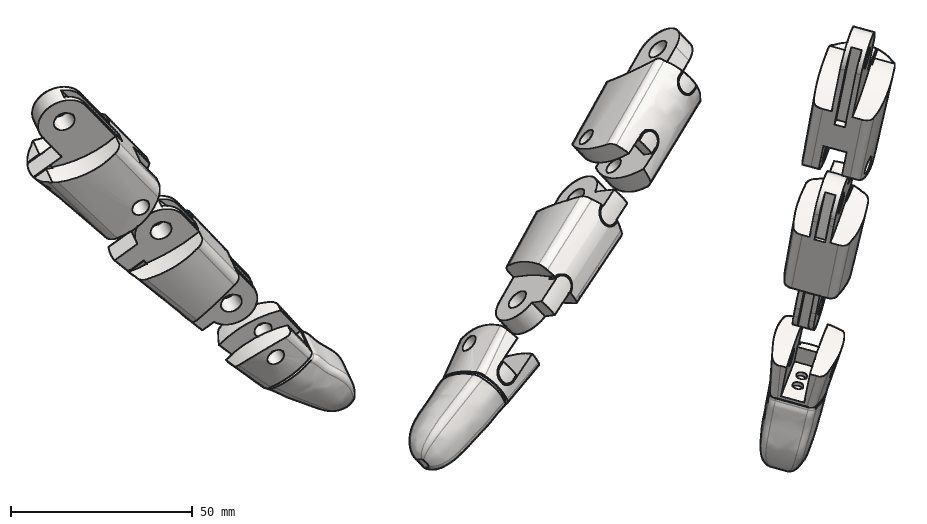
import cadquery as cq
import math

LEAN = 33.4

SHOULDER_RISE = 0.2
HIP_RISE = 0.15

LUG_WIDTH = 6.0
LUG_RADIUS = 7.5
LUG_HOLE = 6.0
FORK_HOLE = 5.0
FORK_WIDTH = 6.65
TENDON_WIDTH = 3.0
GUARD_INNER_Y = -10.6
ARCH_GAP = 0.4
GUARD_GROOVE_Y = -12.0
WIDE = 40.0
DORSAL_CLEAR = 12.0
PALMAR_CLEAR = -20.0


def bulge(start, end, rise):
    """Middle point of an arc that rises to the left of the chord from start to end."""
    dx = end[0] - start[0]
    dy = end[1] - start[1]
    length = math.hypot(dx, dy)
    mid_x = (start[0] + end[0]) / 2
    mid_y = (start[1] + end[1]) / 2
    return (mid_x - dy / length * rise, mid_y + dx / length * rise)


def mirrored(point):
    return (-point[0], point[1])


def section(z, dorsal, flat, shoulder, side, hip, heel, palmar):
    """Cross-section wire: dorsal flat, round shoulders, bowed sides, round hips, palmar arc.

    dorsal and palmar are Y levels on the centre line, flat is half the dorsal flat.
    shoulder, hip and heel are (x, y) corners; side is (x, y) of the widest point.
    """
    crown = (flat, dorsal)
    shoulder_mid = bulge(crown, shoulder, SHOULDER_RISE * math.dist(crown, shoulder))
    hip_mid = bulge(hip, heel, HIP_RISE * math.dist(hip, heel))
    outline = (
        cq.Workplane("XY", origin=(0, 0, z))
        .moveTo(*mirrored(crown))
        .lineTo(*crown)
        .threePointArc(shoulder_mid, shoulder)
        .threePointArc(side, hip)
        .threePointArc(hip_mid, heel)
        .threePointArc((0, palmar), mirrored(heel))
        .threePointArc(mirrored(hip_mid), mirrored(hip))
        .threePointArc(mirrored(side), mirrored(shoulder))
        .threePointArc(mirrored(shoulder_mid), mirrored(crown))
        .close()
    )
    return outline.val()


def loft(sections, ruled=True):
    return cq.Workplane(cq.Solid.makeLoft(sections, ruled))


def box(width, y_range, z_range):
    """Block centred across the finger."""
    size_y = y_range[1] - y_range[0]
    size_z = z_range[1] - z_range[0]
    centre = (0, sum(y_range) / 2, sum(z_range) / 2)
    return cq.Workplane("XY").box(width, size_y, size_z).translate(centre)


def side_plane(width, y=0, z=0):
    """Side-view sketch plane (local x is Y, local y is Z) on the -X flank of a part of this width."""
    return cq.Workplane("YZ", origin=(-width / 2, y, z))


def cross_pin(y, z, diameter):
    """Cylinder across the finger, for a joint hole."""
    return side_plane(WIDE, y, z).circle(diameter / 2).extrude(WIDE)


def arc_drop(radius, offset):
    return radius - math.sqrt(radius ** 2 - offset ** 2)


def end_z(apex, radius, y):
    """Height at y of a round end face; a positive radius curves up away from the apex."""
    return apex[1] + math.copysign(arc_drop(abs(radius), y - apex[0]), radius)


def sleeve_envelope(top, top_radius, bottom, bottom_radius):
    """Full-width block between two round end faces, given by their (y, z) apexes."""
    corners = [
        (DORSAL_CLEAR, end_z(top, top_radius, DORSAL_CLEAR)),
        (PALMAR_CLEAR, end_z(top, top_radius, PALMAR_CLEAR)),
        (PALMAR_CLEAR, end_z(bottom, bottom_radius, PALMAR_CLEAR)),
        (DORSAL_CLEAR, end_z(bottom, bottom_radius, DORSAL_CLEAR)),
    ]
    return (
        side_plane(WIDE)
        .moveTo(*corners[0])
        .threePointArc(top, corners[1])
        .lineTo(*corners[2])
        .threePointArc(bottom, corners[3])
        .close()
        .extrude(WIDE)
    )


def lug_envelope(pivot, root_z):
    """Hinge plate from root_z to the round end about the (y, z) pivot."""
    y, z = pivot
    plate = box(LUG_WIDTH, (y - LUG_RADIUS, y + LUG_RADIUS), sorted((root_z, z)))
    eye = side_plane(LUG_WIDTH, y, z).circle(LUG_RADIUS).extrude(LUG_WIDTH)
    return plate.union(eye)


def tendon_groove(root_z, root_floor, tip_z, tip_floor):
    """Groove along the dorsal edge of a lug; the floor runs straight from root to tip."""
    return (
        side_plane(TENDON_WIDTH)
        .polyline([
            (DORSAL_CLEAR, root_z), (root_floor, root_z), (tip_floor, tip_z), (DORSAL_CLEAR, tip_z),
        ])
        .close()
        .extrude(TENDON_WIDTH)
    )


def arch_prism(width, apex_z, open_z, inner_y):
    """Arch-shaped prism from inner_y out through the palmar side, open towards open_z."""
    radius = width / 2
    spring_z = apex_z + math.copysign(radius, open_z - apex_z)
    return (
        cq.Workplane("XZ", origin=(0, inner_y, 0))
        .moveTo(-radius, open_z)
        .lineTo(-radius, spring_z)
        .threePointArc((0, apex_z), (radius, spring_z))
        .lineTo(radius, open_z)
        .close()
        .extrude(inner_y - PALMAR_CLEAR)
    )


def arch_gap(width, apex_z, open_z, inner_y):
    """Thin arched groove in the palmar face, outlining a lug foot or a tendon guard."""
    inner_apex_z = apex_z + math.copysign(ARCH_GAP, open_z - apex_z)
    outer = arch_prism(width, apex_z, open_z, inner_y)
    return outer.cut(arch_prism(width - 2 * ARCH_GAP, inner_apex_z, open_z, inner_y))


def placed(body, x):
    """Lean an upright body into its final attitude and shift it across the finger."""
    return body.rotate((0, 0, 0), (1, 0, 0), LEAN).translate((x, 0, 0))


def make_proximal():
    dorsal = 8.4
    pivot = (dorsal - LUG_RADIUS, 69.2)
    fork_pivot = (0.8, 32.4)
    shelf_z = 59.2
    fork_floor_z = 41.0
    guard_end_z = 34.8
    guard_width = 5.7
    foot_bottom_z = 54.2
    foot_gap_width = 6.7
    guard_arch_z = 40.0
    guard_neck_z = 36.8
    lug_root_z = 46.0

    hull = loft([
        section(
            27, dorsal=dorsal, flat=5.6, shoulder=(8.2, 6.1), side=(9.25, -2.0),
            hip=(9.1, -10.0), heel=(7.7, -12.4), palmar=-13.35,
        ),
        section(
            77, dorsal=dorsal, flat=5.6, shoulder=(8.8, 6.1), side=(10.05, -2.0),
            hip=(9.95, -11.3), heel=(8.5, -13.4), palmar=-18.6,
        ),
    ])
    sleeve = sleeve_envelope(top=(5.0, 53.55), top_radius=28.5, bottom=(-4.5, 27.5), bottom_radius=18.8)
    sleeve = sleeve.intersect(box(WIDE, (PALMAR_CLEAR, DORSAL_CLEAR), (0, shelf_z)))
    foot = box(LUG_WIDTH, (PALMAR_CLEAR, pivot[0]), (lug_root_z, shelf_z))
    fork = box(FORK_WIDTH, (PALMAR_CLEAR, DORSAL_CLEAR), (0, fork_floor_z))
    guard = box(guard_width, (PALMAR_CLEAR, GUARD_INNER_Y), (guard_end_z, fork_floor_z))
    guard_root = box(FORK_WIDTH, (PALMAR_CLEAR, GUARD_INNER_Y), (guard_neck_z, fork_floor_z))

    envelope = (
        sleeve.cut(fork)
        .union(guard)
        .union(guard_root)
        .union(lug_envelope(pivot, lug_root_z))
        .union(foot)
    )
    return (
        hull.intersect(envelope)
        .cut(arch_gap(foot_gap_width, foot_bottom_z, shelf_z, GUARD_INNER_Y))
        .cut(arch_gap(FORK_WIDTH, guard_arch_z, guard_end_z, GUARD_GROOVE_Y))
        .cut(cross_pin(*pivot, LUG_HOLE))
        .cut(cross_pin(*fork_pivot, FORK_HOLE))
        .cut(tendon_groove(root_z=49.5, root_floor=6.2, tip_z=80, tip_floor=5.2))
    )


def make_middle():
    upper_pivot = (-1.2, 15.1)
    lower_pivot = (-1.35, -21.8)
    upper_foot_z = 16.2
    lower_foot_z = -23.7
    collar_width = 6.4
    collar_gap_width = collar_width + 2 * ARCH_GAP
    collar_top_z = 9.9
    collar_bottom_z = -15.6
    upper_arch_z = 6.4
    lower_arch_z = -12.6

    hull = loft([
        section(
            -30, dorsal=6.1, flat=5.1, shoulder=(7.4, 3.7), side=(8.5, -3.0),
            hip=(8.1, -9.0), heel=(6.2, -11.0), palmar=-12.3,
        ),
        section(
            23, dorsal=6.35, flat=5.2, shoulder=(8.3, 4.1), side=(9.65, -4.0),
            hip=(9.3, -13.7), heel=(6.7, -15.9), palmar=-17.5,
        ),
    ])
    sleeve = sleeve_envelope(top=(3.0, 6.45), top_radius=48.0, bottom=(4.0, -12.85), bottom_radius=-60.0)
    foot = box(LUG_WIDTH, (PALMAR_CLEAR, lower_pivot[0]), (lower_foot_z, upper_foot_z))
    collar = box(collar_width, (PALMAR_CLEAR, GUARD_INNER_Y), (collar_bottom_z, collar_top_z))

    envelope = (
        sleeve.union(foot).union(collar)
        .union(lug_envelope(upper_pivot, 0))
        .union(lug_envelope(lower_pivot, 0))
    )
    return (
        hull.intersect(envelope)
        .cut(cross_pin(*upper_pivot, LUG_HOLE))
        .cut(cross_pin(*lower_pivot, LUG_HOLE))
        .cut(arch_gap(collar_gap_width, upper_arch_z, upper_foot_z, GUARD_INNER_Y))
        .cut(arch_gap(collar_gap_width, lower_arch_z, lower_foot_z, GUARD_INNER_Y))
        .cut(tendon_groove(root_z=6.15, root_floor=5.2, tip_z=24, tip_floor=3.0))
        .cut(tendon_groove(root_z=-13.0, root_floor=3.5, tip_z=-32, tip_floor=3.5))
    )


JOINT_Z = -53.1


def make_knuckle():
    fork_pivot = (-2.0, -43.5)
    fork_floor_z = -51.8
    guard_top_z = -46.5
    guard_arch_z = -51.4
    tendon_hole = 3.0
    tendon_hole_ys = (-1.0, -5.5)

    hull = loft([
        section(
            JOINT_Z, dorsal=5.35, flat=4.2, shoulder=(6.6, 3.9), side=(7.85, -3.0),
            hip=(6.9, -9.3), heel=(5.0, -11.4), palmar=-12.4,
        ),
        section(
            -36, dorsal=5.5, flat=5.6, shoulder=(8.5, 3.5), side=(9.65, -3.5),
            hip=(8.9, -11.4), heel=(7.4, -12.9), palmar=-14.5,
        ),
    ])
    sleeve = sleeve_envelope(top=(-8.0, -37.8), top_radius=-27.4, bottom=(0, -70), bottom_radius=50.0)
    fork = box(FORK_WIDTH, (PALMAR_CLEAR, DORSAL_CLEAR), (fork_floor_z, 0))
    guard = box(FORK_WIDTH, (PALMAR_CLEAR, GUARD_INNER_Y), (fork_floor_z, guard_top_z))
    knuckle = hull.intersect(sleeve.cut(fork).union(guard)).cut(cross_pin(*fork_pivot, FORK_HOLE))
    knuckle = knuckle.cut(arch_gap(FORK_WIDTH, guard_arch_z, guard_top_z, GUARD_GROOVE_Y))
    for y in tendon_hole_ys:
        hole = cq.Workplane("XY", origin=(0, y, JOINT_Z)).circle(tendon_hole / 2)
        knuckle = knuckle.cut(hole.extrude(fork_floor_z - JOINT_Z))
    return knuckle


def tip_section(z, dorsal, palmar, half_width):
    """Tip cross-section with its corners in proportion to its depth and width."""
    depth = dorsal - palmar
    return section(
        z,
        dorsal=dorsal,
        flat=0.6 * half_width,
        shoulder=(0.86 * half_width, dorsal - 0.11 * depth),
        side=(half_width, dorsal - 0.45 * depth),
        hip=(0.88 * half_width, dorsal - 0.80 * depth),
        heel=(0.62 * half_width, dorsal - 0.93 * depth),
        palmar=palmar,
    )


def make_tip():
    lip_z = -54.0
    lip = tip_section(lip_z, 5.3, -12.3, 7.85)
    bevel = loft([tip_section(JOINT_Z, 5.1, -12.0, 7.4), lip])
    pad = loft([
        lip,
        tip_section(-60, 6.35, -10.2, 7.65),
        tip_section(-66, 7.65, -7.9, 7.35),
        tip_section(-71, 7.6, -5.9, 6.9),
        tip_section(-75, 6.1, -3.8, 6.0),
        tip_section(-78, 4.25, -1.2, 4.0),
        tip_section(-79.0, 2.7, 0.4, 1.8),
    ], ruled=False)
    return bevel.union(pad)


PROXIMAL_X = 0.77
MIDDLE_X = 0.1
DISTAL_X = -1.15

proximal = placed(make_proximal(), PROXIMAL_X)
middle = placed(make_middle(), MIDDLE_X)
knuckle = placed(make_knuckle(), DISTAL_X)
tip = placed(make_tip(), DISTAL_X)

result = cq.Compound.makeCompound([proximal.val(), middle.val(), knuckle.val(), tip.val()])